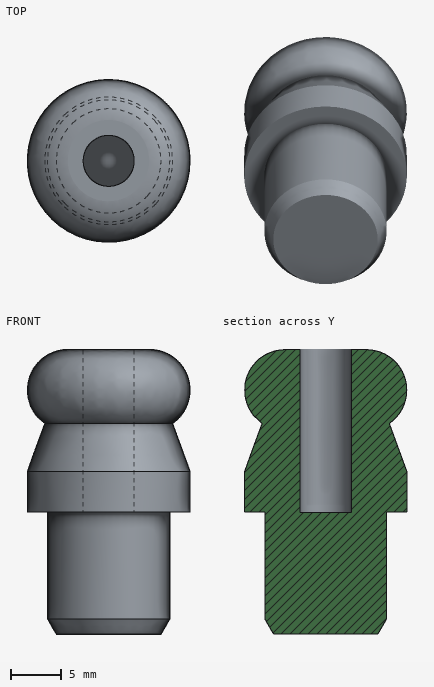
import cadquery as cq
import math

total_height = 28.0
body_diameter = 16.0
shank_diameter = 12.0
shank_length = 12.0
collar_height = 4.0
neck_height = 20.72
tip_chamfer_height = 1.5
tip_chamfer_angle = 30.0
bore_diameter = 5.0

body_radius = body_diameter / 2
shank_radius = shank_diameter / 2
collar_top = shank_length + collar_height
tip_radius = shank_radius - tip_chamfer_height * math.tan(math.radians(tip_chamfer_angle))

round_radius = body_radius / 2
flat_radius = body_radius - round_radius
round_center_height = total_height - round_radius
neck_drop = round_center_height - neck_height
neck_radius = flat_radius + math.sqrt(round_radius**2 - neck_drop**2)

body = (
    cq.Workplane("XZ")
    .lineTo(tip_radius, 0)
    .lineTo(shank_radius, tip_chamfer_height)
    .lineTo(shank_radius, shank_length)
    .lineTo(body_radius, shank_length)
    .lineTo(body_radius, collar_top)
    .lineTo(neck_radius, neck_height)
    .threePointArc((body_radius, round_center_height), (flat_radius, total_height))
    .lineTo(0, total_height)
    .close()
    .revolve(360, (0, 0, 0), (0, 1, 0))
)

bore_depth = total_height - shank_length
bore = cq.Workplane("XY").workplane(offset=shank_length).circle(bore_diameter / 2).extrude(bore_depth)

result = body.cut(bore)